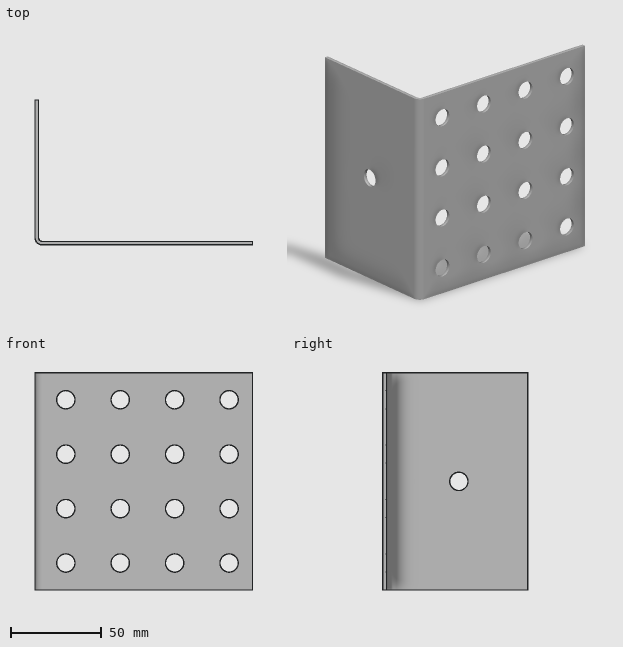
import cadquery as cq

length = 120.0
depth = 80.0
height = 120.0
thickness = 2.0
outer_bend_radius = 4.1
inner_bend_radius = outer_bend_radius - thickness

hole_diameter = 10.0
holes_per_side = 4
hole_pitch = 30.0
first_hole_x = 17.0
first_hole_z = (height - (holes_per_side - 1) * hole_pitch) / 2
side_hole_y = 42.0
side_hole_z = height / 2


def bent_sheet():
    """L-shaped sheet with its outer corner on the Z axis and a rounded bend."""
    outline = [
        (0, 0),
        (length, 0),
        (length, thickness),
        (thickness, thickness),
        (thickness, depth),
        (0, depth),
    ]
    sheet = cq.Workplane("XY").polyline(outline).close().extrude(height)
    inner_corner = cq.selectors.NearestToPointSelector((thickness, thickness, height / 2))
    outer_corner = cq.selectors.NearestToPointSelector((0, 0, height / 2))
    sheet = sheet.edges("|Z").edges(inner_corner).fillet(inner_bend_radius)
    return sheet.edges("|Z").edges(outer_corner).fillet(outer_bend_radius)


def hole_cutter(start, direction):
    """Cylinder that passes through one sheet wall, starting on its outer face."""
    return cq.Workplane(
        cq.Solid.makeCylinder(hole_diameter / 2, thickness, cq.Vector(*start), cq.Vector(*direction))
    )


result = bent_sheet()

for column in range(holes_per_side):
    for row in range(holes_per_side):
        hole_x = first_hole_x + column * hole_pitch
        hole_z = first_hole_z + row * hole_pitch
        result = result.cut(hole_cutter((hole_x, 0, hole_z), (0, 1, 0)))

result = result.cut(hole_cutter((0, side_hole_y, side_hole_z), (1, 0, 0)))